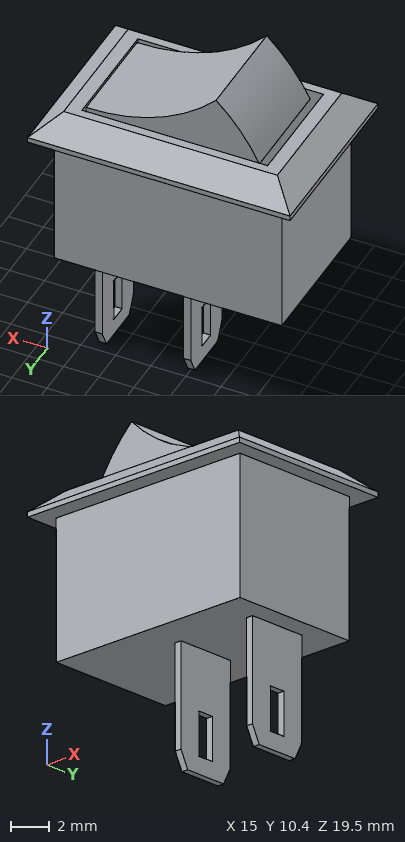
import cadquery as cq
import math


BEZEL_LENGTH = 15.0
BEZEL_WIDTH = 10.4
RIM_HEIGHT = 0.3
BEVEL_HEIGHT = 1.2
BEVEL_INSET = 1.4
BEZEL_HEIGHT = RIM_HEIGHT + BEVEL_HEIGHT

CASE_LENGTH = 13.0
CASE_WIDTH = 8.2
CASE_HEIGHT = 8.0
CASE_BOTTOM = -BEZEL_HEIGHT - CASE_HEIGHT

WELL_LENGTH = 10.6
WELL_WIDTH = 6.6
WELL_DEPTH = 6.0

ROCKER_WIDTH = 6.0
ROCKER_BASE_LENGTH = 10.1
ROCKER_TIP_SPAN = 8.0
ROCKER_HEIGHT = 4.0
ROCKER_DISH = 0.84
ROCKER_END_BULGE = 0.2
ROCKER_TILT = 22.0
ROCKER_PEAK = 3.0

TERMINAL_POSITIONS = (0.0, 5.05)
TERMINAL_THICKNESS = 0.42
TERMINAL_WIDTH = 3.7
TERMINAL_LENGTH = 7.0
TERMINAL_TAPER_INSET = 0.5
TERMINAL_TAPER_HEIGHT = 1.0
TERMINAL_SLOT_WIDTH = 1.0
TERMINAL_SLOT_LENGTH = 2.5
TERMINAL_SLOT_BOTTOM = TERMINAL_TAPER_HEIGHT


def make_bezel():
    """Rectangular rim topped by a frustum with equal insets on all four sides."""
    rim = (
        cq.Workplane("XY", origin=(0, 0, -BEZEL_HEIGHT))
        .rect(BEZEL_LENGTH, BEZEL_WIDTH)
        .extrude(RIM_HEIGHT)
    )
    bevel = (
        cq.Workplane("XY", origin=(0, 0, -BEVEL_HEIGHT))
        .rect(BEZEL_LENGTH, BEZEL_WIDTH)
        .workplane(offset=BEVEL_HEIGHT)
        .rect(BEZEL_LENGTH - 2 * BEVEL_INSET, BEZEL_WIDTH - 2 * BEVEL_INSET)
        .loft(ruled=True)
    )
    return rim.union(bevel)


def make_terminal(x_center):
    """Flat solder tab with a tapered end and a rectangular wire slot."""
    bottom = CASE_BOTTOM - TERMINAL_LENGTH
    taper_top = bottom + TERMINAL_TAPER_HEIGHT
    half_width = TERMINAL_WIDTH / 2
    half_end = half_width - TERMINAL_TAPER_INSET
    slot_center = bottom + TERMINAL_SLOT_BOTTOM + TERMINAL_SLOT_LENGTH / 2
    plane = cq.Workplane("YZ", origin=(x_center - TERMINAL_THICKNESS / 2, 0, 0))
    tab = plane.polyline([
        (-half_width, CASE_BOTTOM),
        (-half_width, taper_top),
        (-half_end, bottom),
        (half_end, bottom),
        (half_width, taper_top),
        (half_width, CASE_BOTTOM),
    ]).close().extrude(TERMINAL_THICKNESS)
    slot = (
        plane.center(0, slot_center)
        .rect(TERMINAL_SLOT_WIDTH, TERMINAL_SLOT_LENGTH)
        .extrude(TERMINAL_THICKNESS)
    )
    return tab.cut(slot)


def make_housing():
    """Case, bezel and terminals in one piece, with an open well for the rocker."""
    case = (
        cq.Workplane("XY", origin=(0, 0, CASE_BOTTOM))
        .rect(CASE_LENGTH, CASE_WIDTH)
        .extrude(CASE_HEIGHT)
    )
    well = (
        cq.Workplane("XY", origin=(0, 0, -WELL_DEPTH))
        .rect(WELL_LENGTH, WELL_WIDTH)
        .extrude(WELL_DEPTH)
    )
    body = case.union(make_bezel()).cut(well)
    for x_center in TERMINAL_POSITIONS:
        body = body.union(make_terminal(x_center))
    return body


def make_rocker():
    """Dished rocker with bulged ends, drawn level on its base and then tilted so its -X tip is raised."""
    half_base = ROCKER_BASE_LENGTH / 2
    half_tips = ROCKER_TIP_SPAN / 2
    end_chord = math.hypot(half_base - half_tips, ROCKER_HEIGHT)
    bulge_x = (half_base + half_tips) / 2 + ROCKER_END_BULGE * ROCKER_HEIGHT / end_chord
    bulge_z = ROCKER_HEIGHT / 2 + ROCKER_END_BULGE * (half_base - half_tips) / end_chord
    level = (
        cq.Workplane("XZ")
        .moveTo(-half_base, 0)
        .threePointArc((-bulge_x, bulge_z), (-half_tips, ROCKER_HEIGHT))
        .threePointArc((0, ROCKER_HEIGHT - ROCKER_DISH), (half_tips, ROCKER_HEIGHT))
        .threePointArc((bulge_x, bulge_z), (half_base, 0))
        .close()
        .extrude(ROCKER_WIDTH / 2, both=True)
    )
    tilt = math.radians(ROCKER_TILT)
    tip_rise = half_tips * math.sin(tilt) + ROCKER_HEIGHT * math.cos(tilt)
    return level.rotate((0, 0, 0), (0, 1, 0), ROCKER_TILT).translate((0, 0, ROCKER_PEAK - tip_rise))


housing = make_housing()
rocker = make_rocker()

result = cq.Compound.makeCompound([housing.solids().val(), rocker.val()])